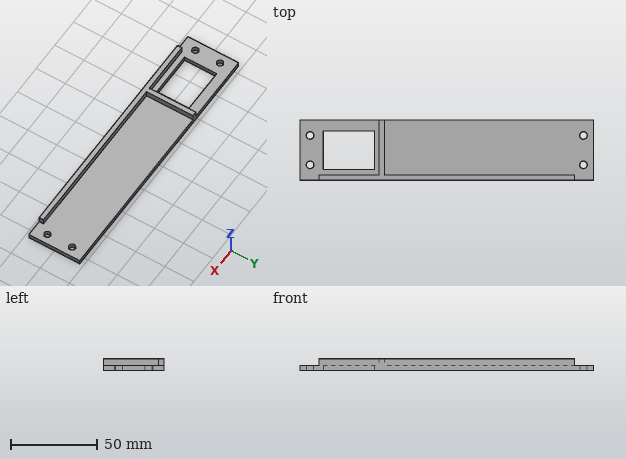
import cadquery as cq

length = 170.0
width = 35.0
total_height = 7.0
plate_thickness = 3.0

wall_thickness = 3.0
wall_height = total_height - plate_thickness
rail_end_inset = 11.0
rail_length = length - 2 * rail_end_inset
rib_start = 45.9

window_start = 13.6
window_length = 29.5
window_width = 22.1

hole_diameter = 4.2
hole_end_inset = 6.0
hole_pitch_x = length - 2 * hole_end_inset
hole_pitch_y = 17.0


def corner_box(x_size, y_size, z_size, x=0, y=0, z=0):
    """Box whose lowest corner is at (x, y, z)."""
    return cq.Workplane("XY").box(x_size, y_size, z_size, centered=False).translate((x, y, z))


plate = corner_box(length, width, plate_thickness)
rail = corner_box(rail_length, wall_thickness, wall_height, x=rail_end_inset, z=plate_thickness)
rib = corner_box(wall_thickness, width, wall_height, x=rib_start, z=plate_thickness)

window = corner_box(
    window_length, window_width, plate_thickness, x=window_start, y=(width - window_width) / 2
)
holes = (
    cq.Workplane("XY")
    .center(length / 2, width / 2)
    .rarray(hole_pitch_x, hole_pitch_y, 2, 2)
    .circle(hole_diameter / 2)
    .extrude(plate_thickness)
)

result = plate.union(rail).union(rib).cut(window).cut(holes)